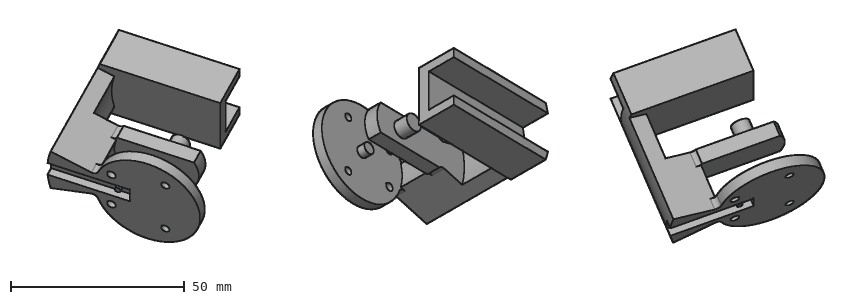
import cadquery as cq
import math

total_depth = 48.5

disc_radius = 16.5
disc_thickness = 3.6
outer_radius = 31.35
web_half_angle = 15.0
neck_fillet = 1.75

thin_web_inner_radius = 25.9

plate_front = 14.5
plate_back = 19.4
plate_half_height = 5.35
plate_end_radius = 9.95

block_front = 34.45
block_right = 8.1
block_half_height = 10.1
channel_floor = 38.45
channel_half_height = 6.8

slot_right = -5.5
slot_height = 5.1
slot_depth = 2.6
slot_pin_diameter = 1.8
slot_pin_x = -9.5
slot_pin_length = 2.1

plate_pin_diameter = 5.8
plate_pin_length = 5.1
disc_pin_diameter = 3.9
disc_pin_length = 2.85

disc_holes = [(2.7, -11.25, 6.5), (2.5, 5.65, 9.5)]

clearance = 0.5

centre_radius = disc_radius + neck_fillet
fillet_turn = math.degrees(math.asin(neck_fillet / centre_radius))


def polar(radius, angle):
    """Point at an angle above the -X direction, as (x, z)."""
    return (-radius * math.cos(math.radians(angle)), radius * math.sin(math.radians(angle)))


def mirrored(point):
    """The same point on the other side of Z = 0."""
    return (point[0], -point[1])


def extrude_back(sketch, y_start, y_end):
    """Extrude an XZ outline from y_start to y_end."""
    return sketch.extrude(-(y_end - y_start)).translate((0, y_start, 0))


def cylinder(diameter, y_start, y_end, x=0, z=0):
    """Cylinder along Y."""
    return extrude_back(cq.Workplane("XZ").center(x, z).circle(diameter / 2), y_start, y_end)


def bar(x_start, x_end, y_start, y_end, half_height):
    """Rectangular bar centred on Z = 0."""
    sketch = cq.Workplane("XZ").center((x_start + x_end) / 2, 0).rect(x_end - x_start, 2 * half_height)
    return extrude_back(sketch, y_start, y_end)


def outer_wall(angle):
    """Start an outline with the outer arc, from below to above Z = 0."""
    sketch = cq.Workplane("XZ").moveTo(*polar(outer_radius, -angle))
    return sketch.threePointArc(polar(outer_radius, 0), polar(outer_radius, angle))


def ring_sector(inner_radius, y_start, y_end):
    """Web stretch between two concentric arcs and two radial sides."""
    sketch = (
        outer_wall(web_half_angle)
        .lineTo(*polar(inner_radius, web_half_angle))
        .threePointArc(polar(inner_radius, 0), polar(inner_radius, -web_half_angle))
        .close()
    )
    return extrude_back(sketch, y_start, y_end)


fillet_centre = polar(centre_radius, web_half_angle + fillet_turn)
side_point = polar(centre_radius * math.cos(math.radians(fillet_turn)), web_half_angle)
rim_point = polar(disc_radius, web_half_angle + fillet_turn)


def fillet_point_at(z):
    """Point of the neck fillet, on its disc side, at a given height."""
    rise = fillet_centre[1] - z
    return (fillet_centre[0] + math.sqrt(neck_fillet**2 - rise**2), z)


def front_disc():
    """Disc with its filleted neck and the web behind the neck."""
    middle = fillet_point_at((side_point[1] + rim_point[1]) / 2)
    sketch = (
        outer_wall(web_half_angle)
        .lineTo(*side_point)
        .threePointArc(middle, rim_point)
        .threePointArc((disc_radius, 0), mirrored(rim_point))
        .threePointArc(mirrored(middle), mirrored(side_point))
        .close()
    )
    disc = extrude_back(sketch, 0, disc_thickness)
    for diameter, x, z in disc_holes:
        for side in (1, -1):
            disc = disc.cut(cylinder(diameter, 0, disc_thickness, x, side * z))
    return disc


def middle_plate():
    """Flat-sided plate that shares the neck fillet and has a rounded right end."""
    flat_start = fillet_point_at(plate_half_height)
    middle = fillet_point_at((side_point[1] + plate_half_height) / 2)
    flat_end = (math.sqrt(plate_end_radius**2 - plate_half_height**2), plate_half_height)
    sketch = (
        outer_wall(web_half_angle)
        .lineTo(*side_point)
        .threePointArc(middle, flat_start)
        .lineTo(*flat_end)
        .threePointArc((plate_end_radius, 0), mirrored(flat_end))
        .lineTo(*mirrored(flat_start))
        .threePointArc(mirrored(middle), mirrored(side_point))
        .close()
    )
    return extrude_back(sketch, plate_front, plate_back)


def channel_block():
    """Rear block whose left end follows the outer wall, with an open channel along X."""
    corner_angle = math.degrees(math.asin(block_half_height / outer_radius))
    sketch = (
        outer_wall(corner_angle)
        .lineTo(block_right, block_half_height)
        .lineTo(block_right, -block_half_height)
        .close()
    )
    block = extrude_back(sketch, block_front, total_depth)
    channel_start = -outer_radius - clearance
    channel_end = block_right + clearance
    channel = bar(channel_start, channel_end, channel_floor, total_depth, channel_half_height)
    return block.cut(channel)


body = front_disc()
body = body.union(ring_sector(disc_radius, disc_thickness, plate_front))
body = body.union(middle_plate())
body = body.union(ring_sector(thin_web_inner_radius, plate_back, block_front))
body = body.union(channel_block())

body = body.union(cylinder(disc_pin_diameter, disc_thickness, disc_thickness + disc_pin_length))
body = body.union(cylinder(plate_pin_diameter, plate_back, plate_back + plate_pin_length))

body = body.cut(bar(-outer_radius - clearance, slot_right, 0, slot_depth, slot_height / 2))
slot_pin = cylinder(slot_pin_diameter, slot_depth - slot_pin_length, slot_depth, slot_pin_x)
result = body.union(slot_pin)